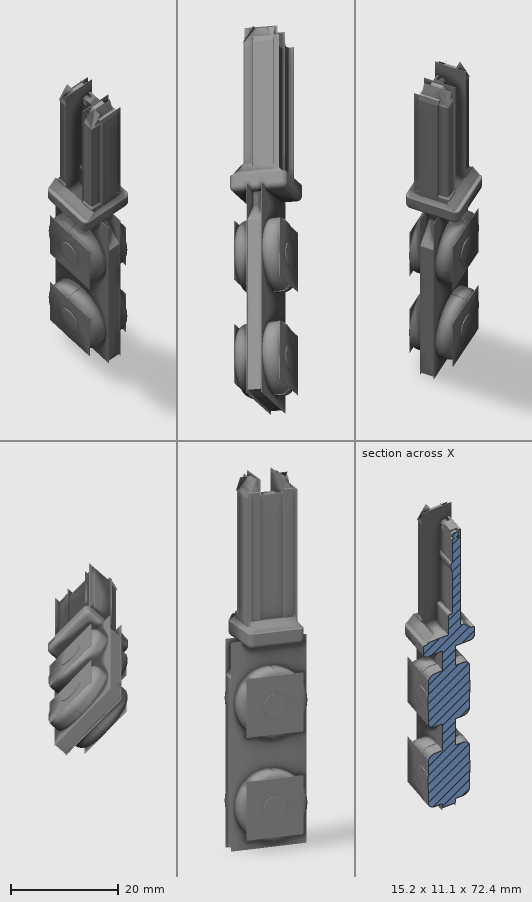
import cadquery as cq

HEIGHT = 72.4
SHEET = 0.1
OVERLAP = 0.35

PLATE_WIDTH = 15.2
PLATE_THICKNESS = 2.9
PLATE_EDGE = 0.2
PLATE_SHEET_TOP = 40.7
NECK_WIDTH = 7.7
NECK_BOTTOM = 37.5
NECK_ROUND = 0.4
SHOULDER_ROUND = 0.3
PLATE_FOOT = 0.65

ROLLER_DIAMETER = 14.0
ROLLER_LENGTH = 9.0
ROLLER_ROUND = 1.5
ROLLER_HEIGHTS = (8.5, 28.55)
ROLLER_SHEET_SIDE = 11.45
PIN_DIAMETER = 4.6
PIN_LENGTH = 9.3
NOTCH_WIDTH = 0.4
NOTCH_DEPTH = 0.15

COLLAR_WIDTH = 11.3
COLLAR_DEPTH = 11.1
COLLAR_BOTTOM = 40.1
COLLAR_LEDGE = 43.3
COLLAR_TOP = 44.9
COLLAR_ROUND = 1.0
COLLAR_BOTTOM_ROUND = 0.95
COLLAR_LEDGE_EDGE = 0.15
MOUND_WIDTH = 11.0
MOUND_SIDE_TOP = 44.1
MOUND_TOP_WIDTH = 9.7
MOUND_FOOT_DEPTH = 9.55
MOUND_TOP_DEPTH = 6.5
TROUGH_FLOOR = 43.6
TROUGH_ROUND = 1.0

GAP = 4.6
PRONG_FRONT = -3.05
PRONG_STEP = -1.1
PRONG_BACK = 3.0
PRONG_FRONT_OUTER = 4.6
PRONG_BACK_OUTER = 4.9
PRONG_EDGE = 0.2
PRONG_FOOT_TOP = 45.5
PRONG_FOOT_FLARE = 0.3
GUSSET_BACK = 4.1
GUSSET_INNER = 4.3
GUSSET_FOOT = 44.05
GUSSET_TOP = 45.3
PRONG_SHOULDER = 68.95
BACK_TOP = 69.9
BACK_SLOPE = 0.2
TIP_OUTER = 4.5
TIP_BACK = 2.6
TIP_TOP = 72.0
TIP_TOP_OUTER = 3.2
TIP_TOP_FRONT = -1.1
TIP_TOP_BACK = 1.3

INNER_SHEET_FRONT = -3.5
INNER_SHEET_BACK = 3.0
OUTER_SHEET_X = 4.7
OUTER_SHEET_BACK = 4.0
OUTER_SHEET_TOP = 70.05
STEP_SHEET_OUTER = 5.4
STEP_SHEET_TOP = 69.6
TIP_SHEET_OUTER = 4.8
TIP_BACK_SHEET_OUTER = 3.9

WEB_FRONT = 0.65
WEB_BACK = 2.5
WEB_TOP = 69.2
RIDGE_FRONT = 0.35
PAD_FRONT = -0.15
PAD_EDGE = 0.2
RIDGE_BOTTOM = 59.2
RIDGE_LINE = 60.4
RIDGE_TOP = 61.4
LUG_WIDTH = 1.1
LUG_BOTTOM = 67.35
LUG_RADIUS = 0.7
PAD_TOP = 48.7


def block(x, y, z):
    """Box between the given (low, high) limits."""
    size = [high - low for low, high in (x, y, z)]
    return cq.Workplane("XY").box(*size, centered=False).translate((x[0], y[0], z[0]))


def join(bodies):
    """Fuse bodies and keep the lines where coplanar faces meet."""
    whole = bodies[0]
    for body in bodies[1:]:
        whole = whole.union(body, clean=False)
    return whole


def both_sides(body):
    """The body and its mirror image across X = 0."""
    return [body, body.mirror("YZ")]


def corners_at(z):
    """Selects the plate corners that lie near height z."""
    low = (-PLATE_WIDTH, -PLATE_WIDTH, z - OVERLAP)
    high = (PLATE_WIDTH, PLATE_WIDTH, z + OVERLAP)
    return cq.selectors.BoxSelector(low, high)


def plate():
    half = PLATE_WIDTH / 2
    neck = NECK_WIDTH / 2
    shoulder = NECK_BOTTOM - (half - neck)
    top = COLLAR_BOTTOM + COLLAR_ROUND
    outline = [(-half, PLATE_FOOT), (half, PLATE_FOOT), (half, shoulder), (neck, NECK_BOTTOM), (neck, top),
               (-neck, top), (-neck, NECK_BOTTOM), (-half, shoulder)]
    body = cq.Workplane("XZ").polyline(outline).close().extrude(PLATE_THICKNESS / 2, both=True)
    body = (
        body.edges("|Y").edges(corners_at(NECK_BOTTOM)).fillet(NECK_ROUND)
        .edges("|Y").edges(corners_at(shoulder)).fillet(SHOULDER_ROUND)
        .faces("<Y or >Y").chamfer(PLATE_EDGE)
    )
    sheets = []
    for low in (-PLATE_THICKNESS / 2, PLATE_THICKNESS / 2 - SHEET):
        sheets.append(block((-half, half), (low, low + SHEET), (0, PLATE_SHEET_TOP)))
    return [body] + sheets


def rounded_drum(radius):
    """Drum along Y with both rims rounded."""
    return (
        cq.Workplane("XZ").circle(radius).extrude(ROLLER_LENGTH / 2, both=True)
        .faces("<Y or >Y").edges().fillet(ROLLER_ROUND)
    )


def roller(z):
    half = ROLLER_LENGTH / 2
    notches = (
        cq.Workplane("XY").box(NOTCH_WIDTH, ROLLER_LENGTH, ROLLER_DIAMETER)
        .cut(rounded_drum(ROLLER_DIAMETER / 2 - NOTCH_DEPTH))
    )
    drum = rounded_drum(ROLLER_DIAMETER / 2).cut(notches)
    sheets = []
    for side in (-1, 1):
        sheets.append(
            cq.Workplane("XY").box(ROLLER_SHEET_SIDE, SHEET, ROLLER_SHEET_SIDE)
            .translate((0, side * (half - SHEET / 2), 0))
        )
    pin = cq.Workplane("XZ").circle(PIN_DIAMETER / 2).extrude(PIN_LENGTH / 2, both=True)
    return join([drum] + sheets + [pin]).translate((0, 0, z))


def collar():
    base = (
        cq.Workplane("XY").workplane(offset=COLLAR_BOTTOM).rect(COLLAR_WIDTH, COLLAR_DEPTH)
        .extrude(COLLAR_LEDGE - COLLAR_BOTTOM)
        .edges("|Z").fillet(COLLAR_ROUND)
        .faces("<Z").edges().fillet(COLLAR_BOTTOM_ROUND)
        .faces(">Z").edges().chamfer(COLLAR_LEDGE_EDGE)
    )
    foot = MOUND_FOOT_DEPTH / 2
    top = MOUND_TOP_DEPTH / 2
    start = COLLAR_LEDGE - OVERLAP
    profile = [(-foot, start), (foot, start), (foot, COLLAR_LEDGE), (top, COLLAR_TOP),
               (-top, COLLAR_TOP), (-foot, COLLAR_LEDGE)]
    mound = cq.Workplane("YZ").polyline(profile).close().extrude(MOUND_WIDTH / 2, both=True)
    side = MOUND_WIDTH / 2
    top_side = MOUND_TOP_WIDTH / 2
    section = [(-side, start), (side, start), (side, COLLAR_LEDGE), (top_side, MOUND_SIDE_TOP),
               (top_side, COLLAR_TOP), (-top_side, COLLAR_TOP), (-top_side, MOUND_SIDE_TOP),
               (-side, COLLAR_LEDGE)]
    mound = mound.intersect(cq.Workplane("XZ").polyline(section).close().extrude(foot, both=True))
    trough = block((-GAP / 2, GAP / 2), (-foot, WEB_FRONT), (TROUGH_FLOOR, COLLAR_TOP + OVERLAP))
    trough = trough.faces("<Z").edges("|Y").fillet(TROUGH_ROUND)
    slope_sheet = slanted_sheet("YZ", (-foot, COLLAR_LEDGE), (-top, COLLAR_TOP),
                                (-side, 0, 0), MOUND_WIDTH)
    return [base.union(mound, clean=False).cut(trough), slope_sheet]


def prong():
    inner = GAP / 2
    foot = MOUND_SIDE_TOP - OVERLAP
    front = block((inner, PRONG_FRONT_OUTER), (PRONG_FRONT, PRONG_STEP + OVERLAP), (foot, PRONG_SHOULDER))
    front = front.edges("|Z and >X and <Y").chamfer(PRONG_EDGE)
    outer = PRONG_BACK_OUTER
    back_outline = [(inner, foot), (outer, foot), (outer, PRONG_SHOULDER), (outer - BACK_SLOPE, BACK_TOP),
                    (inner, BACK_TOP)]
    back = (
        cq.Workplane("XZ").polyline(back_outline).close().extrude(PRONG_BACK - PRONG_STEP)
        .translate((0, PRONG_BACK, 0))
    )

    def rectangle(x_limit, y_low, y_high, z):
        points = [(inner, y_low, z), (x_limit, y_low, z), (x_limit, y_high, z), (inner, y_high, z)]
        return cq.Wire.makePolygon([cq.Vector(*p) for p in points], close=True)

    tip = cq.Workplane(cq.Solid.makeLoft([
        rectangle(TIP_OUTER, PRONG_FRONT, TIP_BACK, PRONG_SHOULDER),
        rectangle(TIP_TOP_OUTER, TIP_TOP_FRONT, TIP_TOP_BACK, TIP_TOP),
    ], True))
    flare = PRONG_FOOT_FLARE
    front_foot = block((inner, PRONG_FRONT_OUTER + flare), (PRONG_FRONT - flare, PRONG_STEP),
                       (foot, PRONG_FOOT_TOP))
    front_foot = front_foot.faces(">Z").edges(">X or <Y").chamfer(flare)
    gusset = (
        cq.Workplane("YZ").moveTo(PRONG_BACK, GUSSET_TOP).lineTo(GUSSET_BACK, GUSSET_FOOT)
        .lineTo(PRONG_STEP, GUSSET_FOOT).lineTo(PRONG_STEP, GUSSET_TOP).close()
        .extrude(OUTER_SHEET_X - GUSSET_INNER).translate((GUSSET_INNER, 0, 0))
    )
    return [front, back, tip, front_foot, gusset]


def slanted_sheet(plane, foot, top, start, length):
    """Thin sloping sheet from foot to top in the plane, extruded from start by length."""
    profile = [foot, top, (top[0], top[1] - SHEET), (foot[0], foot[1] - SHEET)]
    return cq.Workplane(plane).polyline(profile).close().extrude(length).translate(start)


def prong_sheets():
    inner = GAP / 2
    inside = block((inner, inner + SHEET), (INNER_SHEET_FRONT, INNER_SHEET_BACK), (COLLAR_TOP, HEIGHT))
    outside = block((OUTER_SHEET_X - SHEET, OUTER_SHEET_X), (PRONG_STEP, OUTER_SHEET_BACK),
                    (GUSSET_FOOT, OUTER_SHEET_TOP))
    step = block((inner, STEP_SHEET_OUTER), (PRONG_STEP, PRONG_STEP + SHEET), (COLLAR_TOP, STEP_SHEET_TOP))
    front_slope = slanted_sheet("YZ", (PRONG_FRONT, PRONG_SHOULDER), (TIP_TOP_FRONT, TIP_TOP),
                                (inner, 0, 0), TIP_SHEET_OUTER - inner)
    back_slope = slanted_sheet("YZ", (TIP_BACK, PRONG_SHOULDER), (TIP_TOP_BACK, TIP_TOP),
                               (inner, 0, 0), TIP_BACK_SHEET_OUTER - inner)
    side_slope = slanted_sheet("XZ", (TIP_OUTER, PRONG_SHOULDER), (TIP_TOP_OUTER, TIP_TOP),
                               (0, TIP_BACK, 0), TIP_BACK - PRONG_FRONT)
    return [inside, outside, step, front_slope, back_slope, side_slope]


def web():
    half = GAP / 2
    inside = WEB_FRONT + OVERLAP
    body = block((-half, half), (WEB_FRONT, WEB_BACK), (TROUGH_FLOOR, WEB_TOP))
    corner = block((half - LUG_WIDTH, half), (WEB_FRONT, WEB_FRONT + 2 * LUG_RADIUS), (LUG_BOTTOM, WEB_TOP))
    for piece in both_sides(corner):
        body = body.cut(piece)
    lug = (
        cq.Workplane("YZ").circle(LUG_RADIUS).extrude(LUG_WIDTH)
        .translate((half - LUG_WIDTH, WEB_FRONT + LUG_RADIUS, LUG_BOTTOM + LUG_RADIUS))
    )
    ridge_slope = WEB_FRONT - RIDGE_FRONT
    ridge_profile = [(inside, RIDGE_TOP), (WEB_FRONT, RIDGE_TOP), (RIDGE_FRONT, RIDGE_TOP - ridge_slope),
                     (RIDGE_FRONT, RIDGE_LINE), (WEB_FRONT, RIDGE_BOTTOM), (inside, RIDGE_BOTTOM)]
    ridge = cq.Workplane("YZ").polyline(ridge_profile).close().extrude(half, both=True)
    pad = block((-half, half), (PAD_FRONT, inside), (TROUGH_FLOOR - OVERLAP, PAD_TOP))
    pad = pad.edges("|X and <Y and >Z").chamfer(PAD_EDGE)
    return [body, ridge, pad] + both_sides(lug)


bodies = plate() + [roller(z) for z in ROLLER_HEIGHTS] + collar() + web()
for piece in prong() + prong_sheets():
    bodies += both_sides(piece)
result = join(bodies)